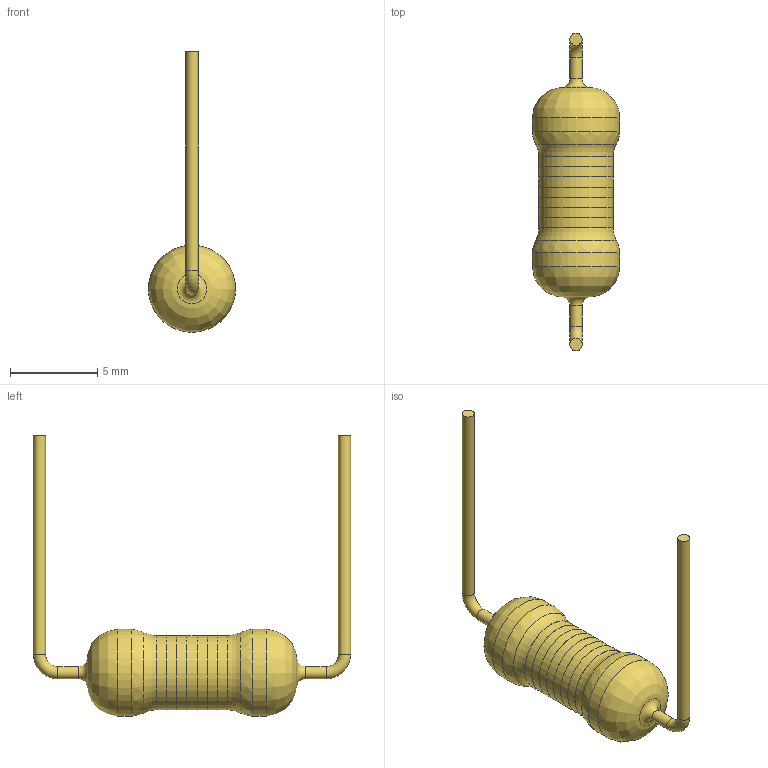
import cadquery as cq
import math

body_length = 12.0
cap_diameter = 5.0
barrel_diameter = 4.25
band_diameter = 4.27
band_count = 4
band_width = 0.583

barrel_half_length = band_width * (2 * band_count - 1) / 2
cap_flat_start = 3.47
cap_flat_end = 4.27

wire_diameter = 0.7
wire_spacing = 17.5
wire_top = 13.6
bend_radius = 1.05
root_fillet = 0.5

body_half_length = body_length / 2
cap_radius = cap_diameter / 2
barrel_radius = barrel_diameter / 2
wire_radius = wire_diameter / 2
flare_radius = wire_radius + root_fillet


def make_body():
    """Dumbbell body: barrel, S-shaped shoulders and rounded end caps."""
    shoulder_y = (barrel_half_length + cap_flat_start) / 2
    shoulder_radius = (barrel_radius + cap_radius) / 2
    profile = (
        cq.Workplane("XY")
        .moveTo(0, -barrel_half_length)
        .lineTo(barrel_radius, -barrel_half_length)
        .lineTo(barrel_radius, barrel_half_length)
        .tangentArcPoint((shoulder_radius, shoulder_y), relative=False)
        .tangentArcPoint((cap_radius, cap_flat_start), relative=False)
        .lineTo(cap_radius, cap_flat_end)
        .tangentArcPoint((flare_radius, body_half_length), relative=False)
        .lineTo(0, body_half_length)
        .close()
    )
    barrel_with_end = profile.revolve(360, (0, 0, 0), (0, 1, 0))
    return barrel_with_end.union(barrel_with_end.mirror("XZ"))


def make_band(index):
    """Thin raised colour band; bands and gaps along the barrel are equally wide."""
    start_y = -barrel_half_length + 2 * band_width * index
    return (
        cq.Workplane("XZ", origin=(0, start_y, 0))
        .circle(band_diameter / 2)
        .extrude(-band_width)
    )


def make_lead(side):
    """Bent wire with a flared root, on the +Y (side = 1) or -Y (side = -1) end."""
    wire_y = side * wire_spacing / 2
    bend_start_y = wire_y - side * bend_radius
    path = (
        cq.Workplane("YZ")
        .moveTo(0, 0)
        .lineTo(bend_start_y, 0)
        .tangentArcPoint((wire_y, bend_radius), relative=False)
        .lineTo(wire_y, wire_top)
    )
    wire = cq.Workplane("XZ").circle(wire_radius).sweep(path)

    root_y = side * body_half_length
    flare_end_y = root_y + side * root_fillet
    arc_middle = root_fillet * (1 - math.sqrt(0.5))
    flare = (
        cq.Workplane("XY")
        .moveTo(0, root_y)
        .lineTo(flare_radius, root_y)
        .threePointArc(
            (wire_radius + arc_middle, root_y + side * arc_middle),
            (wire_radius, flare_end_y),
        )
        .lineTo(0, flare_end_y)
        .close()
        .revolve(360, (0, 0, 0), (0, 1, 0))
    )
    return wire.union(flare)


result = make_body()
for band_index in range(band_count):
    result = result.union(make_band(band_index))
for lead_side in (-1, 1):
    result = result.union(make_lead(lead_side))